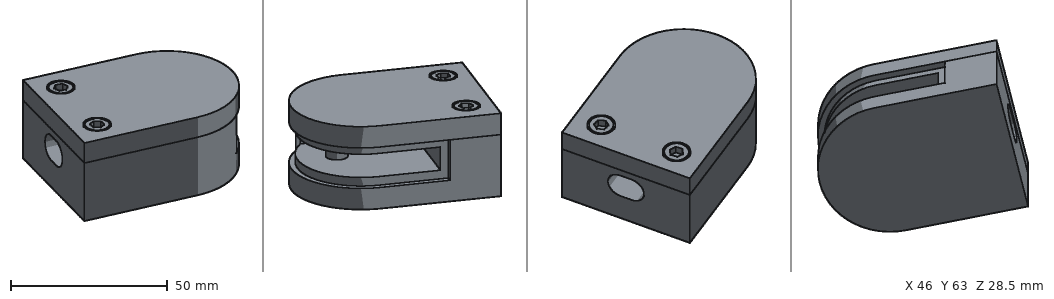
import cadquery as cq

length = 63.0
width = 46.0
height = 28.5
end_radius = width / 2
arc_center_y = length - end_radius

plate_thickness = 7.3
gasket_bottom = plate_thickness
gasket_top = height - plate_thickness
gasket_height = gasket_top - gasket_bottom
mid_z = height / 2

back_block_length = 16.9
side_wall_inner_x = 15.05

mount_slot_width = 13.0
mount_slot_height = 8.95

gasket_inset = 2.0
gasket_radius = end_radius - gasket_inset
glass_gap = 7.95
web_thickness = 2.65
gasket_wall_thickness = 1.95
gasket_wall_inner_x = side_wall_inner_x - gasket_wall_thickness

pin_diameter = 7.2
pin_y = 48.0

screw_x = 13.55
screw_y = 8.95
head_diameter = 8.95
head_chamfer = 0.55
socket_across_corners = 4.65
socket_depth = 2.5
left_socket_angle = 21.5
right_socket_angle = 3.5


def rounded_plate(radius, y_start, z_bottom, thickness):
    """Plate from y_start to the arc centre line, closed by a half circle of the given radius."""
    return (
        cq.Workplane("XY", origin=(0, 0, z_bottom))
        .moveTo(-radius, y_start)
        .lineTo(radius, y_start)
        .lineTo(radius, arc_center_y)
        .threePointArc((0, arc_center_y + radius), (-radius, arc_center_y))
        .close()
        .extrude(thickness)
    )


def open_region(x_max, y_min, z_bottom, thickness):
    """Block reaching from beyond the -X side to x_max and from y_min to beyond the +Y end."""
    return cq.Workplane("XY", origin=(-width, y_min, z_bottom)).box(
        x_max + width, length, thickness, centered=False
    )


def make_base():
    base = rounded_plate(end_radius, 0, 0, gasket_top)
    base = base.cut(open_region(side_wall_inner_x, back_block_length, gasket_bottom, gasket_height))
    mount_slot = (
        cq.Workplane("XZ", origin=(0, 0, mid_z))
        .slot2D(mount_slot_width, mount_slot_height)
        .extrude(-back_block_length)
    )
    return base.cut(mount_slot)


def make_gasket():
    pads = rounded_plate(gasket_radius, back_block_length, gasket_bottom, gasket_height)
    pads = pads.intersect(
        open_region(side_wall_inner_x, back_block_length, gasket_bottom, gasket_height)
    )
    gap_bottom = mid_z - glass_gap / 2
    gap = open_region(gasket_wall_inner_x, back_block_length + web_thickness, gap_bottom, glass_gap)
    pin = (
        cq.Workplane("XY", origin=(0, pin_y, gap_bottom))
        .circle(pin_diameter / 2)
        .extrude(glass_gap)
    )
    return pads.cut(gap).union(pin)


def head_groove(x):
    """V-groove between the straight wall around a screw head and the head's chamfered rim."""
    head_radius = head_diameter / 2
    return (
        cq.Workplane("XZ", origin=(x, screw_y, height))
        .moveTo(head_radius, 0)
        .lineTo(head_radius, -head_chamfer)
        .lineTo(head_radius - head_chamfer, 0)
        .close()
        .revolve(360, (0, 0), (0, 1))
    )


def hex_socket(x, angle):
    return (
        cq.Workplane("XY", origin=(x, screw_y, height))
        .transformed(rotate=(0, 0, angle))
        .polygon(6, socket_across_corners)
        .extrude(-socket_depth)
    )


def make_cover():
    cover = rounded_plate(end_radius, 0, gasket_top, plate_thickness)
    for x, socket_angle in ((-screw_x, left_socket_angle), (screw_x, right_socket_angle)):
        cover = cover.cut(head_groove(x)).cut(hex_socket(x, socket_angle))
    return cover


base = make_base()
gasket = make_gasket()
cover = make_cover()

result = cq.Compound.makeCompound([base.val(), gasket.val(), cover.val()])